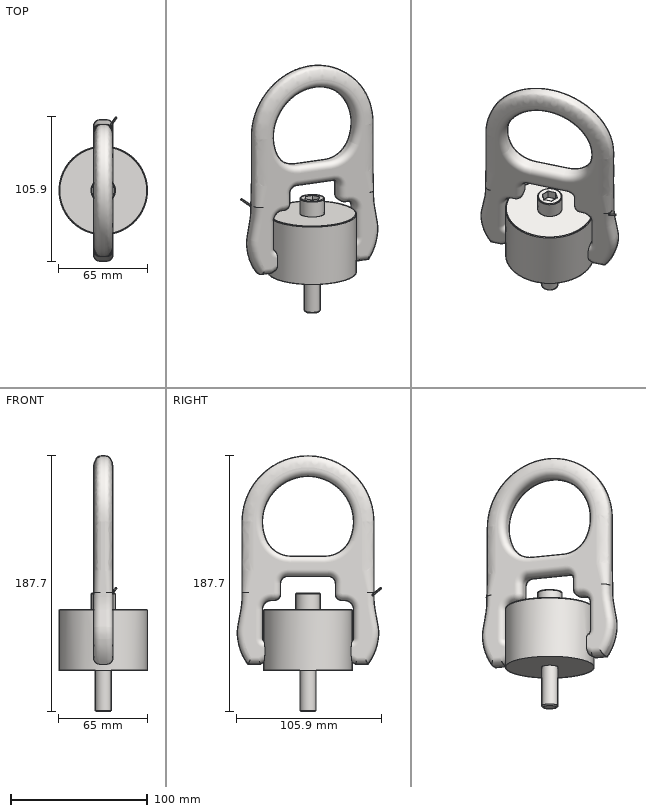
import cadquery as cq
import math


OVERALL_HEIGHT = 187.7

BASE_DIAMETER = 65.0
BASE_HEIGHT = 44.7
BASE_CHAMFER = 0.6
SHANK_DIAMETER = 12.0
SHANK_LENGTH = 30.3
SHANK_CHAMFER = 1.0
HEAD_DIAMETER = 18.0
HEAD_HEIGHT = 12.0
HEAD_CHAMFER = 0.6
SOCKET_ACROSS_FLATS = 10.0
SOCKET_DEPTH = 6.0
SOCKET_ANGLE = 30.0

SHACKLE_THICKNESS = 14.3
HALF_THICKNESS = SHACKLE_THICKNESS / 2
EDGE_FILLET = 4.8
TOP_Z = OVERALL_HEIGHT - SHANK_LENGTH
ARCH_RADIUS = 48.5
ARCH_CENTER_Z = TOP_Z - ARCH_RADIUS

ARCH_FLAT_HALF_WIDTH = 1.4
ARCH_SHOULDER_DEPTH = 8.7
LEG_FLAT_HALF_WIDTH = HALF_THICKNESS - EDGE_FILLET
LEG_SHOULDER_DEPTH = EDGE_FILLET
BLEND_TOP_Z = 73.0
BLEND_BOTTOM_Z = 57.0

FLARE_START_Z = 53.7
FLARE_BEND_Y = 48.7
FLARE_BEND_Z = 49.0
FLARE_STRAIGHT_Y = 49.3
FLARE_STRAIGHT_Z = 44.6
FLARE_END_Y = 51.6
FLARE_END_Z = 31.8
FOOT_HALF_SPAN = 52.0
FOOT_WIDEST_Z = 27.4
FOOT_SIDE_Y = 51.6
FOOT_SIDE_Z = 22.9
FOOT_BULGE_Y = 49.2
FOOT_BULGE_Z = 13.5
FOOT_HEEL_Y = 44.0
FOOT_BOTTOM_Z = 4.4
FOOT_BOTTOM_INNER_Y = 35.0
TOE_Y = 27.0
TOE_Z = 8.8

EYE_RADIUS = 33.3
EYE_BOTTOM_Z = 83.8
EYE_FLAT_HALF_LENGTH = 12.4

GAP_TOP_Z = 68.8
GAP_UPPER_HALF_WIDTH = 20.0
GAP_STEP_Z = 51.1
GAP_LOWER_HALF_WIDTH = 33.3
GAP_BOTTOM_Z = 21.3
GAP_TOP_RADIUS = 5.0
GAP_STEP_RADIUS = 5.0
GAP_SHOULDER_RADIUS = 6.4
GAP_BOTTOM_RADIUS = 2.0

PRONG_ROOT = (5.0, 47.0, 55.0)
PRONG_TIP = (9.4, 53.43, 60.2)
PRONG_DIAMETER = 1.2

SELECTION_TOLERANCE = 0.01


def make_base():
    base = cq.Workplane("XY").circle(BASE_DIAMETER / 2).extrude(BASE_HEIGHT)
    return base.faces(">Z").chamfer(BASE_CHAMFER)


def make_screw():
    shank = cq.Workplane("XY").circle(SHANK_DIAMETER / 2).extrude(-SHANK_LENGTH)
    shank = shank.faces("<Z").chamfer(SHANK_CHAMFER)
    head = cq.Workplane("XY").workplane(offset=BASE_HEIGHT).circle(HEAD_DIAMETER / 2).extrude(HEAD_HEIGHT)
    head = head.faces(">Z").edges().chamfer(HEAD_CHAMFER)
    socket = (
        cq.Workplane("XY")
        .workplane(offset=BASE_HEIGHT + HEAD_HEIGHT)
        .transformed(rotate=(0, 0, SOCKET_ANGLE))
        .polygon(6, SOCKET_ACROSS_FLATS / math.cos(math.pi / 6))
        .extrude(-SOCKET_DEPTH)
    )
    return shank, head.cut(socket)


def rim_section(height, flat, depth):
    """Half section of the shackle, from the plane Y = 0 out to the rim at Y = ARCH_RADIUS."""
    rise = HALF_THICKNESS - flat
    shoulder_y = ARCH_RADIUS - depth
    diagonal = math.sqrt(0.5)
    middle_x = flat + rise * diagonal
    middle_y = shoulder_y + depth * diagonal
    return (
        cq.Workplane("XY")
        .workplane(offset=height)
        .moveTo(-HALF_THICKNESS, 0)
        .lineTo(-HALF_THICKNESS, shoulder_y)
        .spline(
            [(-middle_x, middle_y), (-flat, ARCH_RADIUS)],
            tangents=[(0, depth), (rise, 0)],
            includeCurrent=True,
        )
        .lineTo(flat, ARCH_RADIUS)
        .spline(
            [(middle_x, middle_y), (HALF_THICKNESS, shoulder_y)],
            tangents=[(rise, 0), (0, -depth)],
            includeCurrent=True,
        )
        .lineTo(HALF_THICKNESS, 0)
        .close()
    )


def with_mirror(half):
    return half.union(half.mirror("XZ"))


def make_arch():
    section = rim_section(ARCH_CENTER_Z, ARCH_FLAT_HALF_WIDTH, ARCH_SHOULDER_DEPTH)
    return section.revolve(180, (0, 0), (1, 0))


def make_straight_legs():
    section = rim_section(BLEND_TOP_Z, ARCH_FLAT_HALF_WIDTH, ARCH_SHOULDER_DEPTH)
    return with_mirror(section.extrude(ARCH_CENTER_Z - BLEND_TOP_Z))


def make_blend():
    lower = rim_section(BLEND_BOTTOM_Z, LEG_FLAT_HALF_WIDTH, LEG_SHOULDER_DEPTH).wires().val()
    upper = rim_section(BLEND_TOP_Z, ARCH_FLAT_HALF_WIDTH, ARCH_SHOULDER_DEPTH).wires().val()
    return with_mirror(cq.Workplane(cq.Solid.makeLoft([lower, upper])))


def make_feet():
    """Lower part of the shackle, solid across the middle, with its rim rounded."""
    half = (
        cq.Workplane("YZ")
        .moveTo(-ARCH_RADIUS, BLEND_BOTTOM_Z)
        .lineTo(ARCH_RADIUS, BLEND_BOTTOM_Z)
        .lineTo(ARCH_RADIUS, FLARE_START_Z)
        .threePointArc((FLARE_BEND_Y, FLARE_BEND_Z), (FLARE_STRAIGHT_Y, FLARE_STRAIGHT_Z))
        .lineTo(FLARE_END_Y, FLARE_END_Z)
        .threePointArc((FOOT_HALF_SPAN, FOOT_WIDEST_Z), (FOOT_SIDE_Y, FOOT_SIDE_Z))
        .threePointArc((FOOT_BULGE_Y, FOOT_BULGE_Z), (FOOT_HEEL_Y, FOOT_BOTTOM_Z))
        .lineTo(FOOT_BOTTOM_INNER_Y, FOOT_BOTTOM_Z)
        .lineTo(TOE_Y, TOE_Z)
        .lineTo(-TOE_Y, TOE_Z)
        .lineTo(-FOOT_BOTTOM_INNER_Y, FOOT_BOTTOM_Z)
        .lineTo(-FOOT_HEEL_Y, FOOT_BOTTOM_Z)
        .threePointArc((-FOOT_BULGE_Y, FOOT_BULGE_Z), (-FOOT_SIDE_Y, FOOT_SIDE_Z))
        .threePointArc((-FOOT_HALF_SPAN, FOOT_WIDEST_Z), (-FLARE_END_Y, FLARE_END_Z))
        .lineTo(-FLARE_STRAIGHT_Y, FLARE_STRAIGHT_Z)
        .threePointArc((-FLARE_BEND_Y, FLARE_BEND_Z), (-ARCH_RADIUS, FLARE_START_Z))
        .close()
        .extrude(HALF_THICKNESS)
    )
    below_blend = cq.selectors.BoxSelector(
        (0, -2 * FOOT_HALF_SPAN, 0),
        (SHACKLE_THICKNESS, 2 * FOOT_HALF_SPAN, BLEND_BOTTOM_Z - SELECTION_TOLERANCE),
    )
    half = half.faces(">X").edges(below_blend).fillet(EDGE_FILLET)
    return half.union(half.mirror("YZ"))


def make_eye():
    """Round opening whose corner arcs are tangent to both the circle and the bottom flat."""
    corner_radius = (EYE_RADIUS**2 - EYE_FLAT_HALF_LENGTH**2 - (ARCH_CENTER_Z - EYE_BOTTOM_Z) ** 2) / (
        2 * (EYE_RADIUS - ARCH_CENTER_Z + EYE_BOTTOM_Z)
    )
    corner_z = EYE_BOTTOM_Z + corner_radius
    angle = math.atan2(ARCH_CENTER_Z - corner_z, EYE_FLAT_HALF_LENGTH)
    tangent_y = EYE_RADIUS * math.cos(angle)
    tangent_z = ARCH_CENTER_Z - EYE_RADIUS * math.sin(angle)
    bend = (angle + math.pi / 2) / 2
    bend_y = EYE_FLAT_HALF_LENGTH + corner_radius * math.cos(bend)
    bend_z = corner_z - corner_radius * math.sin(bend)
    return (
        cq.Workplane("YZ")
        .moveTo(-EYE_FLAT_HALF_LENGTH, EYE_BOTTOM_Z)
        .lineTo(EYE_FLAT_HALF_LENGTH, EYE_BOTTOM_Z)
        .threePointArc((bend_y, bend_z), (tangent_y, tangent_z))
        .threePointArc((0, ARCH_CENTER_Z + EYE_RADIUS), (-tangent_y, tangent_z))
        .threePointArc((-bend_y, bend_z), (-EYE_FLAT_HALF_LENGTH, EYE_BOTTOM_Z))
        .close()
        .extrude(HALF_THICKNESS, both=True)
    )


def block(half_width, bottom, top):
    return (
        cq.Workplane("YZ")
        .center(0, (bottom + top) / 2)
        .rect(2 * half_width, top - bottom)
        .extrude(HALF_THICKNESS, both=True)
    )


def edges_along_x(solid, y, z):
    """The edges parallel to X that pass through (+-y, z)."""

    def strip(side):
        return cq.selectors.BoxSelector(
            (-SHACKLE_THICKNESS, side * y - SELECTION_TOLERANCE, z - SELECTION_TOLERANCE),
            (SHACKLE_THICKNESS, side * y + SELECTION_TOLERANCE, z + SELECTION_TOLERANCE),
        )

    return solid.edges("|X").edges(strip(1) + strip(-1))


def make_gap():
    gap = block(GAP_LOWER_HALF_WIDTH, GAP_BOTTOM_Z, GAP_STEP_Z)
    gap = gap.union(block(GAP_UPPER_HALF_WIDTH, GAP_STEP_Z, GAP_TOP_Z))
    corners = [
        (GAP_UPPER_HALF_WIDTH, GAP_TOP_Z, GAP_TOP_RADIUS),
        (GAP_UPPER_HALF_WIDTH, GAP_STEP_Z, GAP_STEP_RADIUS),
        (GAP_LOWER_HALF_WIDTH, GAP_STEP_Z, GAP_SHOULDER_RADIUS),
        (GAP_LOWER_HALF_WIDTH, GAP_BOTTOM_Z, GAP_BOTTOM_RADIUS),
    ]
    for y, z, radius in corners:
        gap = edges_along_x(gap, y, z).fillet(radius)
    return gap


def make_pierced_plate():
    """Oversized plate with both openings cut and their edges rounded."""
    plate = block(2 * ARCH_RADIUS, -ARCH_RADIUS, TOP_Z + ARCH_RADIUS)
    for opening in (make_eye(), make_gap()):
        plate = plate.cut(opening)
    opening_edges = plate.faces("<X or >X").edges(
        cq.selectors.BoxSelector(
            (-SHACKLE_THICKNESS, -ARCH_RADIUS, 0),
            (SHACKLE_THICKNESS, ARCH_RADIUS, TOP_Z),
        )
    )
    return opening_edges.fillet(EDGE_FILLET)


def make_shackle():
    body = make_arch().union(make_straight_legs()).union(make_blend()).union(make_feet())
    return body.intersect(make_pierced_plate())


def make_prong():
    root = cq.Vector(*PRONG_ROOT)
    axis = cq.Vector(*PRONG_TIP) - root
    return cq.Workplane(cq.Solid.makeCylinder(PRONG_DIAMETER / 2, axis.Length, root, axis))


shank, head = make_screw()
result = make_shackle().union(make_prong()).union(make_base()).union(shank).union(head)